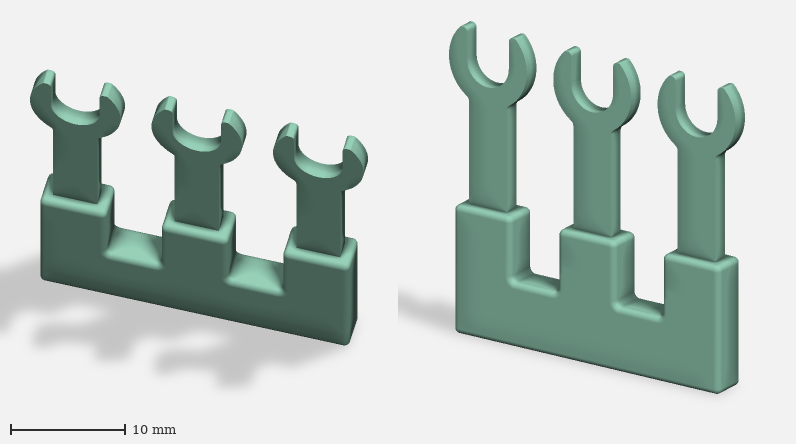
import cadquery as cq
import math

total_height = 28.4
prong_count = 3
prong_pitch = 11.0

housing_thickness = 3.5
housing_height = 12.0
leg_width = 6.0
notch_depth = 6.0
edge_radius = 0.5

fork_thickness = 1.5
stem_width = 4.0
head_radius = 4.1
slot_width = 4.4
tip_rise = 2.93
tip_inner_radius = 0.4
tip_outer_radius = 0.2
neck_radius = 0.5

notch_width = prong_pitch - leg_width
housing_width = (prong_count - 1) * prong_pitch + leg_width
notch_floor_z = housing_height - notch_depth
head_center_z = total_height - tip_rise
slot_radius = slot_width / 2
prong_positions = [(i - (prong_count - 1) / 2) * prong_pitch for i in range(prong_count)]


def centered_block(width, thickness, height, center_x, base_z):
    """Block centred on the given X and on Y = 0, standing on base_z."""
    block = cq.Workplane("XY").box(width, thickness, height, centered=(True, True, False))
    return block.translate((center_x, 0, base_z))


def make_housing():
    """Comb-shaped housing with rounded notch corners and rounded outer edges."""
    body = centered_block(housing_width, housing_thickness, housing_height, 0, 0)
    for left_x, right_x in zip(prong_positions, prong_positions[1:]):
        notch = centered_block(
            notch_width, housing_thickness, notch_depth, (left_x + right_x) / 2, notch_floor_z
        )
        body = body.cut(notch)

    half_span = (housing_width - leg_width) / 2
    floor_corners = cq.selectors.BoxSelector(
        (-half_span, -housing_thickness, notch_floor_z - edge_radius),
        (half_span, housing_thickness, notch_floor_z + edge_radius),
    )
    body = body.edges("|Y").edges(floor_corners).fillet(edge_radius)
    return body.faces("|Y or <Z or >Z or <X or >X").edges().fillet(edge_radius)


def make_fork(center_x):
    """Open-ended fork terminal standing on the top face of a housing leg."""
    half_stem = stem_width / 2
    neck_z = head_center_z - math.sqrt(head_radius**2 - half_stem**2)
    half_tip = math.sqrt(head_radius**2 - tip_rise**2)
    slot_bottom_z = head_center_z - slot_radius

    fork = (
        cq.Workplane("XZ", origin=(center_x, fork_thickness / 2, 0))
        .moveTo(-half_stem, housing_height)
        .lineTo(half_stem, housing_height)
        .lineTo(half_stem, neck_z)
        .threePointArc((head_radius, head_center_z), (half_tip, total_height))
        .lineTo(slot_radius, total_height)
        .lineTo(slot_radius, head_center_z)
        .threePointArc((0, slot_bottom_z), (-slot_radius, head_center_z))
        .lineTo(-slot_radius, total_height)
        .lineTo(-half_tip, total_height)
        .threePointArc((-head_radius, head_center_z), (-half_stem, neck_z))
        .close()
        .extrude(fork_thickness)
    )

    for offset_x, corner_z, radius in (
        (half_stem, neck_z, neck_radius),
        (slot_radius, total_height, tip_inner_radius),
        (half_tip, total_height, tip_outer_radius),
    ):
        for side in (-1, 1):
            corner = (center_x + side * offset_x, 0, corner_z)
            fork = fork.edges(cq.selectors.NearestToPointSelector(corner)).fillet(radius)
    return fork


housing = make_housing()
forks = [make_fork(x) for x in prong_positions]

result = cq.Compound.makeCompound([housing.val(), *[fork.val() for fork in forks]])